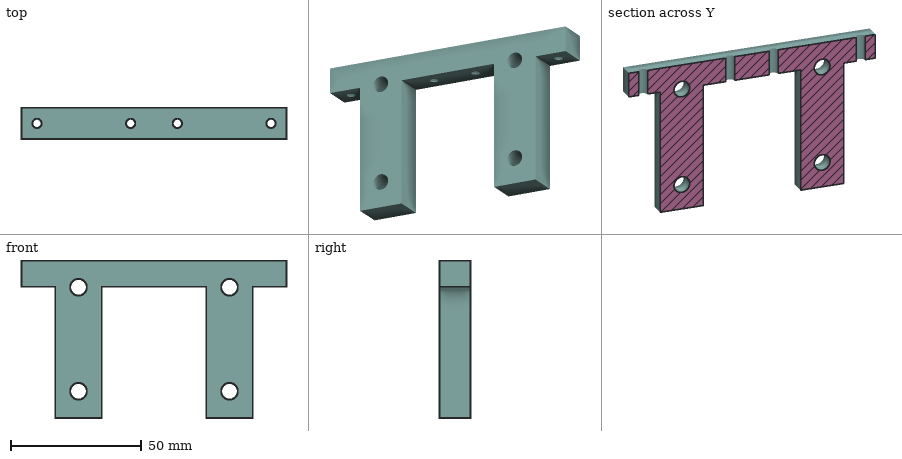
import cadquery as cq

bar_length = 102.0
depth = 12.0
total_height = 60.5
bar_height = 10.1

leg_width = 18.0
leg_spacing = 58.0
leg_height = total_height - bar_height

leg_hole_diameter = 6.3
lower_hole_height = 10.3
leg_hole_spacing = 40.0

bar_hole_diameter = 3.5
inner_hole_spacing = 18.0
outer_hole_spacing = 90.0


def make_crossbar():
    bar = cq.Workplane("XY").box(bar_length, depth, bar_height, centered=(True, True, False))
    return bar.translate((0, 0, leg_height))


def make_leg(center_x):
    leg = cq.Workplane("XY").box(leg_width, depth, total_height, centered=(True, True, False))
    return leg.translate((center_x, 0, 0))


def drill_leg(body, center_x):
    hole_heights = (lower_hole_height, lower_hole_height + leg_hole_spacing)
    drills = (
        cq.Workplane("XZ")
        .pushPoints([(center_x, height) for height in hole_heights])
        .circle(leg_hole_diameter / 2)
        .extrude(depth, both=True)
    )
    return body.cut(drills)


def drill_crossbar(body):
    hole_offsets = (inner_hole_spacing / 2, outer_hole_spacing / 2)
    drills = (
        cq.Workplane("XY")
        .pushPoints([(side * offset, 0) for side in (-1, 1) for offset in hole_offsets])
        .circle(bar_hole_diameter / 2)
        .extrude(total_height)
    )
    return body.cut(drills)


result = make_crossbar()
leg_centers = (-leg_spacing / 2, leg_spacing / 2)
for leg_center in leg_centers:
    result = result.union(make_leg(leg_center))
for leg_center in leg_centers:
    result = drill_leg(result, leg_center)
result = drill_crossbar(result)